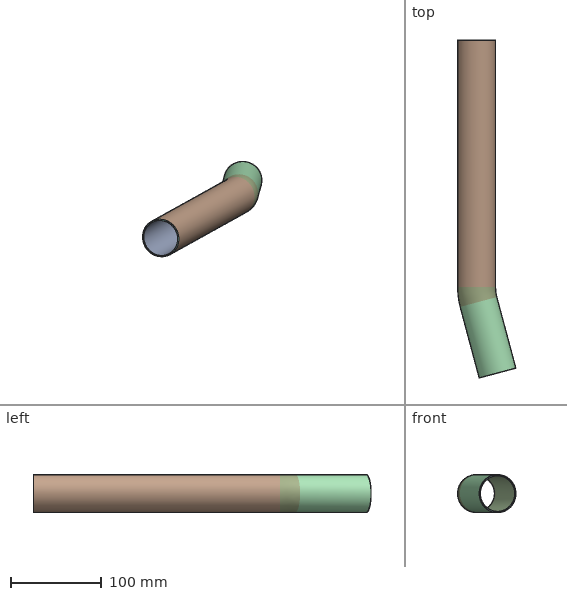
import cadquery as cq
import math

outer_diameter = 42.0
inner_diameter = 39.0
overall_length = 371.5
bend_angle = 15.0
bend_radius = 63.5
short_leg = 80.5

angle = math.radians(bend_angle)
outer_radius = outer_diameter / 2
bend_reach = bend_radius * math.sin(angle)
bend_offset = bend_radius * (1 - math.cos(angle))
tilted_end_reach = short_leg * math.cos(angle) + outer_radius * math.sin(angle)
long_leg = overall_length - bend_reach - tilted_end_reach

bend_start = (0, -long_leg)
bend_middle = (
    bend_radius * (1 - math.cos(angle / 2)),
    -long_leg - bend_radius * math.sin(angle / 2),
)
bend_end = (bend_offset, -long_leg - bend_reach)
short_end = (
    bend_end[0] + short_leg * math.sin(angle),
    bend_end[1] - short_leg * math.cos(angle),
)
centreline = (
    cq.Workplane("XY")
    .lineTo(*bend_start)
    .threePointArc(bend_middle, bend_end)
    .lineTo(*short_end)
)

result = (
    cq.Workplane("XZ")
    .circle(outer_radius)
    .circle(inner_diameter / 2)
    .sweep(centreline)
)